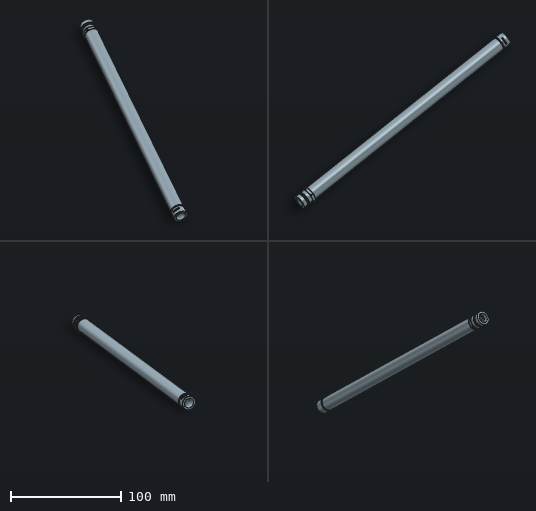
import cadquery as cq
import math

tube_length = 250.0
tube_diameter = 13.2
bore_diameter = 9.0
tube_radius = tube_diameter / 2
end_chamfer = 0.2

hex_across_flats = 14.0
hex_start = 10.0
hex_width = 3.0
hex_chamfer_length = 1.0
hex_chamfer_depth = 0.8

ramp_length = 1.0
ramp_depth = 0.38
seal_groove_start = 5.0
seal_groove_width = 1.2
seal_groove_depth = 1.12

mark_groove_width = 1.0
mark_groove_depth = 0.38
mark_groove_start = tube_length - 8.8

slot_width = 1.0
slot_center = tube_length - 4.8
slot_depth = 1.0
slot_tilt = 30.0


def cylinder(diameter, start, length):
    """Solid cylinder on the X axis."""
    return cq.Workplane("YZ").workplane(offset=start).circle(diameter / 2).extrude(length)


def groove_cutter(start, width, depth):
    """Ring that cuts a square groove around the tube."""
    outer = cylinder(2 * tube_diameter, start, width)
    return outer.cut(cylinder(tube_diameter - 2 * depth, start, width))


def ramp_cutter():
    """Ring that slopes the tube surface down into the seal groove."""
    return (
        cq.Workplane("XY")
        .moveTo(seal_groove_start - ramp_length, tube_radius)
        .lineTo(seal_groove_start, tube_radius - ramp_depth)
        .lineTo(seal_groove_start, tube_radius)
        .close()
        .revolve(360, (0, 0, 0), (1, 0, 0))
    )


def hex_collar():
    """Hexagonal collar with its corners turned down on both sides."""
    corner_diameter = hex_across_flats / math.cos(math.pi / 6)
    prism = (
        cq.Workplane("YZ")
        .workplane(offset=hex_start)
        .polygon(6, corner_diameter)
        .extrude(hex_width)
    )
    corner_radius = corner_diameter / 2
    face_radius = corner_radius - hex_chamfer_depth
    hex_end = hex_start + hex_width
    turned_blank = (
        cq.Workplane("XY")
        .moveTo(hex_start, 0)
        .lineTo(hex_start, face_radius)
        .lineTo(hex_start + hex_chamfer_length, corner_radius)
        .lineTo(hex_end - hex_chamfer_length, corner_radius)
        .lineTo(hex_end, face_radius)
        .lineTo(hex_end, 0)
        .close()
        .revolve(360, (0, 0, 0), (1, 0, 0))
    )
    return prism.intersect(turned_blank)


def side_slot():
    """Flat-bottomed slot cut along a chord of the tube."""
    floor = tube_radius - slot_depth
    return (
        cq.Workplane("XY")
        .box(slot_width, tube_diameter, tube_radius, centered=(True, True, False))
        .translate((slot_center, 0, floor))
        .rotate((0, 0, 0), (1, 0, 0), slot_tilt)
    )


tube = cylinder(tube_diameter, 0, tube_length).faces(">X").chamfer(end_chamfer)
result = (
    tube.union(hex_collar())
    .cut(ramp_cutter())
    .cut(groove_cutter(seal_groove_start, seal_groove_width, seal_groove_depth))
    .cut(groove_cutter(mark_groove_start, mark_groove_width, mark_groove_depth))
    .cut(side_slot())
    .cut(cylinder(bore_diameter, 0, tube_length))
)